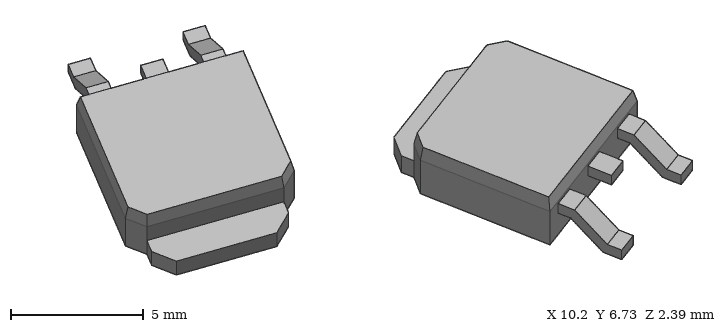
import cadquery as cq
import math

TOTAL_LENGTH = 10.23
BODY_WIDTH = 6.73
BODY_HEIGHT = 2.39

LEAD_REACH = 2.74
TAB_REACH = 1.27
BODY_LENGTH = TOTAL_LENGTH - LEAD_REACH - TAB_REACH
BODY_CORNER_CUT = 0.635
DRAFT_HEIGHT = 0.61
DRAFT_INSET = 0.12
DRAFT_ANGLE = math.degrees(math.atan2(DRAFT_INSET, DRAFT_HEIGHT))
WALL_HEIGHT = BODY_HEIGHT - DRAFT_HEIGHT

TAB_WIDTH = BODY_WIDTH - 2 * BODY_CORNER_CUT
TAB_THICKNESS = 0.89
TAB_CORNER_CUT = 0.73

LEAD_PITCH = 2.286
LEAD_WIDTH = 0.89
LEAD_THICKNESS = 0.51
LEAD_TOP = 1.65
FOOT_LENGTH = 0.62
SHOULDER_LENGTH = 0.71
STUB_LENGTH = 1.02

LEAD_FACE_X = -BODY_LENGTH / 2
TAB_FACE_X = BODY_LENGTH / 2


def plate(x_start, x_end, width, corner_cut, height, taper=0):
    """Plate standing on Z = 0 whose two corners at x_end are cut at 45 degrees."""
    half_width = width / 2
    outline = [
        (x_start, -half_width),
        (x_end - corner_cut, -half_width),
        (x_end, corner_cut - half_width),
        (x_end, half_width - corner_cut),
        (x_end - corner_cut, half_width),
        (x_start, half_width),
    ]
    return cq.Workplane("XY").polyline(outline).close().extrude(height, taper=taper)


def make_body():
    body_plan = (LEAD_FACE_X, TAB_FACE_X, BODY_WIDTH, BODY_CORNER_CUT)
    walls = plate(*body_plan, WALL_HEIGHT)
    drafted_top = plate(*body_plan, DRAFT_HEIGHT, DRAFT_ANGLE)
    return walls.union(drafted_top.translate((0, 0, WALL_HEIGHT)))


def make_tab():
    return plate(0, TAB_FACE_X + TAB_REACH, TAB_WIDTH, TAB_CORNER_CUT, TAB_THICKNESS)


def lead_from_profile(profile, y_center):
    """Extrude an XZ profile to the lead width, centred on y_center."""
    lead = cq.Workplane("XZ").polyline(profile).close().extrude(LEAD_WIDTH / 2, both=True)
    return lead.translate((0, y_center, 0))


def make_bent_lead(y_center):
    tip_x = LEAD_FACE_X - LEAD_REACH
    foot_bend_x = tip_x + FOOT_LENGTH
    shoulder_bend_x = LEAD_FACE_X - SHOULDER_LENGTH
    lead_bottom = LEAD_TOP - LEAD_THICKNESS
    slope_angle = math.atan2(lead_bottom, shoulder_bend_x - foot_bend_x)
    bend_shift = LEAD_THICKNESS * math.tan(slope_angle / 2)
    profile = [
        (tip_x, 0),
        (foot_bend_x + bend_shift, 0),
        (shoulder_bend_x + bend_shift, lead_bottom),
        (LEAD_FACE_X, lead_bottom),
        (LEAD_FACE_X, LEAD_TOP),
        (shoulder_bend_x, LEAD_TOP),
        (foot_bend_x, LEAD_THICKNESS),
        (tip_x, LEAD_THICKNESS),
    ]
    return lead_from_profile(profile, y_center)


def make_stub_lead():
    stub_tip_x = LEAD_FACE_X - STUB_LENGTH
    lead_bottom = LEAD_TOP - LEAD_THICKNESS
    profile = [
        (stub_tip_x, lead_bottom),
        (LEAD_FACE_X, lead_bottom),
        (LEAD_FACE_X, LEAD_TOP),
        (stub_tip_x, LEAD_TOP),
    ]
    return lead_from_profile(profile, 0)


result = make_body().union(make_tab()).union(make_stub_lead())
for side in (-1, 1):
    result = result.union(make_bent_lead(side * LEAD_PITCH))